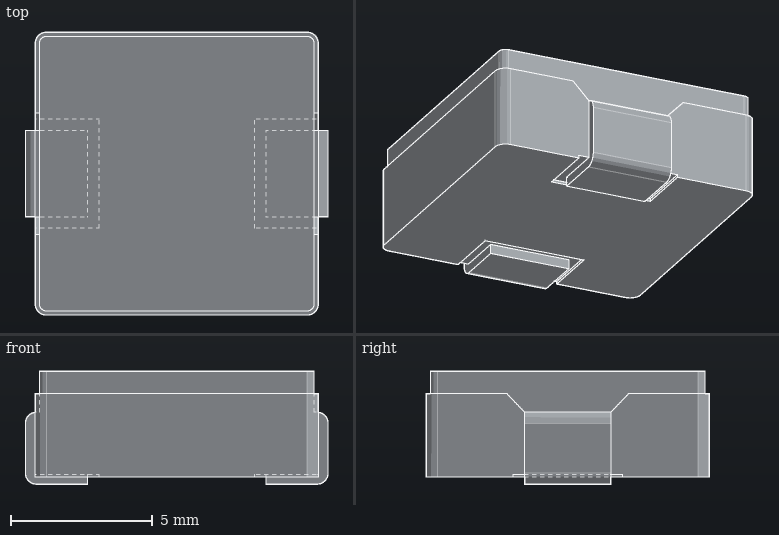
import cadquery as cq

BASE_SIZE = 10.0
BASE_BOTTOM_Z = 0.25
BASE_TOP_Z = 3.2
BASE_CORNER_RADIUS = 0.4
CAP_INSET = 0.15
TOP_Z = 4.0

OVERALL_LENGTH = 10.7
TERMINAL_WIDTH = 3.05
TERMINAL_TOP_Z = 2.55
TERMINAL_BEND_RADIUS = 0.4
FOOT_LENGTH = 2.2

NOTCH_TOP_WIDTH = 4.3
RECESS_TOP_Z = 0.35
FOOT_CLEARANCE = 0.4

BASE_HALF = BASE_SIZE / 2
CAP_SIZE = BASE_SIZE - 2 * CAP_INSET
CAP_HALF = CAP_SIZE / 2
CAP_CORNER_RADIUS = BASE_CORNER_RADIUS - CAP_INSET
TERMINAL_OUTER_X = OVERALL_LENGTH / 2
STRIP_THICKNESS = TERMINAL_OUTER_X - BASE_HALF
FOOT_INNER_X = TERMINAL_OUTER_X - FOOT_LENGTH


def rounded_block(size, corner_radius, bottom_z, top_z):
    """Square block centred on Z with rounded vertical edges."""
    block = cq.Workplane("XY").workplane(offset=bottom_z).rect(size, size).extrude(top_z - bottom_z)
    return block.edges("|Z").fillet(corner_radius)


def notch_cutter():
    """Flared relief in the base wall above the +X terminal, as deep as the cap inset."""
    return (
        cq.Workplane("YZ")
        .workplane(offset=CAP_HALF)
        .moveTo(-NOTCH_TOP_WIDTH / 2, BASE_TOP_Z)
        .lineTo(-TERMINAL_WIDTH / 2, TERMINAL_TOP_Z)
        .lineTo(TERMINAL_WIDTH / 2, TERMINAL_TOP_Z)
        .lineTo(NOTCH_TOP_WIDTH / 2, BASE_TOP_Z)
        .close()
        .extrude(CAP_INSET)
    )


def foot_recess_cutter():
    """Shallow pocket in the underside around the +X foot, open to the side."""
    length = BASE_HALF - FOOT_INNER_X + FOOT_CLEARANCE
    width = TERMINAL_WIDTH + 2 * FOOT_CLEARANCE
    height = RECESS_TOP_Z - BASE_BOTTOM_Z
    return cq.Workplane("XY").box(length, width, height, centered=(False, True, False)).translate(
        (BASE_HALF - length, 0, BASE_BOTTOM_Z)
    )


def terminal():
    """C-shaped +X strip: upper arm entering the body, upright leg and foot."""
    inner_top_z = TERMINAL_TOP_Z - STRIP_THICKNESS
    arm_inner_x = CAP_HALF
    profile = (
        cq.Workplane("XZ")
        .moveTo(FOOT_INNER_X, 0)
        .lineTo(TERMINAL_OUTER_X, 0)
        .lineTo(TERMINAL_OUTER_X, TERMINAL_TOP_Z)
        .lineTo(arm_inner_x, TERMINAL_TOP_Z)
        .lineTo(arm_inner_x, inner_top_z)
        .lineTo(BASE_HALF, inner_top_z)
        .lineTo(BASE_HALF, STRIP_THICKNESS)
        .lineTo(FOOT_INNER_X, STRIP_THICKNESS)
        .close()
    )
    strip = profile.extrude(TERMINAL_WIDTH / 2, both=True)
    return strip.faces(">X").edges("|Y").fillet(TERMINAL_BEND_RADIUS)


def on_both_ends(shape):
    """A +X feature together with its mirror image on -X."""
    return [shape, shape.mirror("YZ")]


result = rounded_block(BASE_SIZE, BASE_CORNER_RADIUS, BASE_BOTTOM_Z, BASE_TOP_Z)
result = result.union(rounded_block(CAP_SIZE, CAP_CORNER_RADIUS, BASE_TOP_Z, TOP_Z))

for cutter in on_both_ends(notch_cutter()) + on_both_ends(foot_recess_cutter()):
    result = result.cut(cutter)

for strip in on_both_ends(terminal()):
    result = result.union(strip)